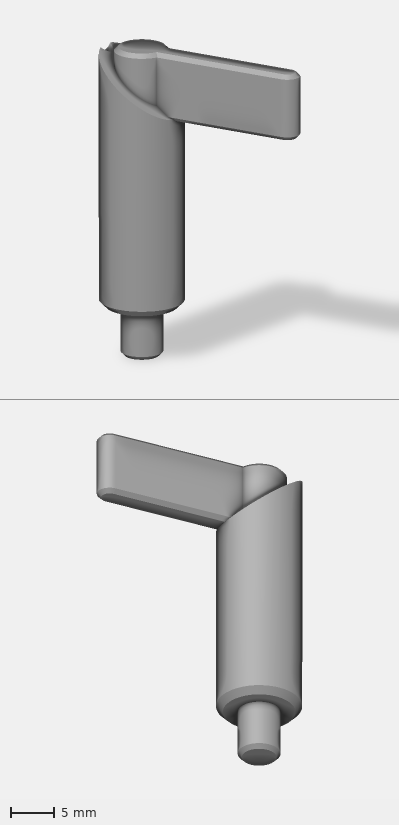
import cadquery as cq

total_height = 37.5

sleeve_diameter = 10.0
sleeve_radius = sleeve_diameter / 2
sleeve_bottom = 6.0
sleeve_chamfer = 0.8
slope_rise = 7.5
notch_radius = 1.25

head_diameter = 6.5
pin_diameter = 5.0
arm_reach = 21.0
arm_thickness = 3.0
arm_height = 8.0
edge_chamfer = 0.5

arm_bottom = total_height - arm_height
slope_low = arm_bottom
slope_high = slope_low + slope_rise
arm_tip_center = arm_reach - arm_thickness / 2


def cylinder(diameter, bottom, top):
    """Upright cylinder on the common axis."""
    return cq.Workplane("XY").workplane(offset=bottom).circle(diameter / 2).extrude(top - bottom)


def below_slope():
    """Block as wide as the sleeve, reaching from its lower end up to the sloped plane."""
    return (
        cq.Workplane("XZ")
        .moveTo(-sleeve_radius, sleeve_bottom)
        .lineTo(sleeve_radius, sleeve_bottom)
        .lineTo(sleeve_radius, slope_low)
        .lineTo(-sleeve_radius, slope_high)
        .close()
        .extrude(sleeve_radius, both=True)
    )


def make_head_and_pin():
    """Wide head above a slimmer pin that is chamfered at its tip."""
    pin = cylinder(pin_diameter, 0, arm_bottom).faces("<Z").chamfer(edge_chamfer)
    return pin.union(cylinder(head_diameter, arm_bottom, total_height))


def make_arm():
    """Round-ended arm, chamfered underneath and trimmed to clear the sloped sleeve end."""
    arm = (
        cq.Workplane("XY")
        .workplane(offset=arm_bottom)
        .moveTo(0, -arm_thickness / 2)
        .lineTo(arm_tip_center, -arm_thickness / 2)
        .threePointArc((arm_reach, 0), (arm_tip_center, arm_thickness / 2))
        .lineTo(0, arm_thickness / 2)
        .close()
        .extrude(arm_height)
        .faces("<Z")
        .chamfer(edge_chamfer)
    )
    return arm.cut(below_slope())


def make_lever():
    """Arm, head and pin as one body with a chamfer around the top face."""
    return make_head_and_pin().union(make_arm()).faces(">Z").chamfer(edge_chamfer)


def make_sleeve():
    """Sleeve with a sloped upper end, a stepped bore and a notch at the high side."""
    sleeve = cylinder(sleeve_diameter, sleeve_bottom, total_height)
    sleeve = sleeve.faces("<Z").chamfer(sleeve_chamfer)
    sleeve = sleeve.intersect(below_slope())
    notch = (
        cq.Workplane("YZ")
        .workplane(offset=-sleeve_radius)
        .center(0, total_height)
        .circle(notch_radius)
        .extrude(sleeve_radius)
    )
    pin_bore = cylinder(pin_diameter, sleeve_bottom, arm_bottom)
    head_bore = cylinder(head_diameter, arm_bottom, total_height)
    return sleeve.cut(notch).cut(pin_bore).cut(head_bore)


sleeve = make_sleeve()
lever = make_lever()

result = cq.Compound.makeCompound([sleeve.solids().val(), lever.solids().val()])